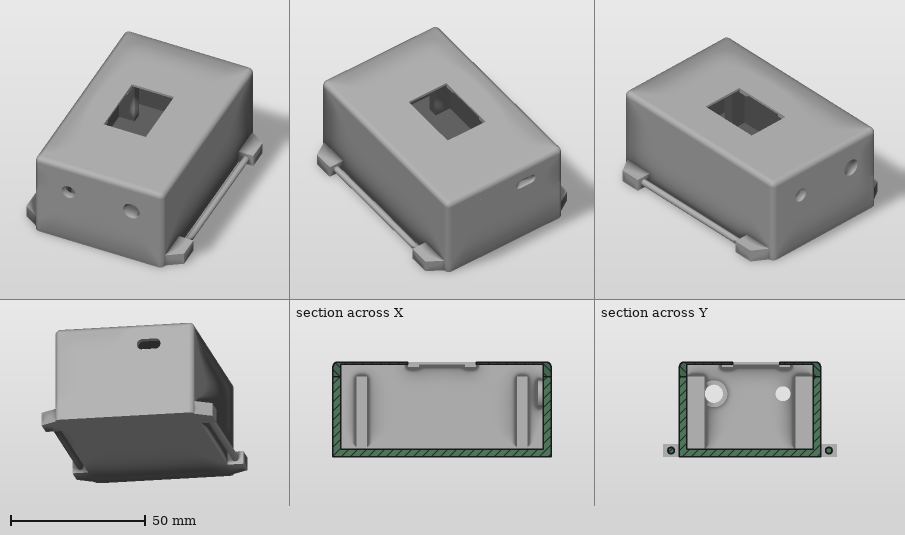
import cadquery as cq

overall_width = 64.8
length = 81.5
height = 35.5
width = 52.8
lug_height = 5.0
lug_length = 12.15
lug_tip_length = 8.3
edge_radius = 2.0
wall = 3.0
lid_height = 5.4
lid_plate = 1.0

bar_diameter = 2.5

post_width = 6.4
post_depth = 4.0
post_near_face = 27.95

port_height = 23.6
small_port_diameter = 5.55
small_port_x = -12.3
large_port_diameter = 6.8
large_port_x = 13.45
collar_diameter = 10.0
collar_length = 2.0

slot_length = 9.0
slot_height = 4.0
slot_x = -9.4
slot_z = 27.6

window_width = 17.3
window_length = 25.2
window_x = -2.3
pad_size = 4.0
pad_height = 1.0

lug_reach = (overall_width - width) / 2
box_height = height - lid_height
inner_width = width - 2 * wall
inner_length = length - 2 * wall
lug_end = length / 2 - edge_radius
lug_start = lug_end - lug_length
lug_tip_end = lug_start + lug_tip_length
bar_x = (width + lug_reach) / 2
SIDES = (-1, 1)


def block(size_x, size_y, bottom, top):
    """Block centred on the Z axis, between two heights."""
    return cq.Workplane("XY").workplane(offset=bottom).rect(size_x, size_y).extrude(top - bottom)


def front_rod(x, diameter, depth):
    """Round rod along Y at port height, from the front face inwards."""
    return (
        cq.Workplane("XZ", origin=(x, -length / 2, port_height))
        .circle(diameter / 2)
        .extrude(-depth)
    )


def rear_slot():
    """Cutter for the rounded slot through the rear wall."""
    return (
        cq.Workplane("XZ", origin=(slot_x, length / 2, slot_z))
        .slot2D(slot_length, slot_height)
        .extrude(wall)
    )


def lug(side_x, side_y):
    """Strap lug on a side wall, tapered towards the end of the box."""
    inner_x = side_x * width / 2
    outer_x = side_x * overall_width / 2
    outline = [
        (inner_x, side_y * lug_start),
        (outer_x, side_y * lug_start),
        (outer_x, side_y * lug_tip_end),
        (inner_x, side_y * lug_end),
    ]
    return cq.Workplane("XY").polyline(outline).close().extrude(lug_height)


def strap_bar(side_x):
    """Round bar joining the two lugs on one side."""
    return (
        cq.Workplane("XZ", origin=(side_x * bar_x, lug_start, lug_height / 2))
        .circle(bar_diameter / 2)
        .extrude(2 * lug_start)
    )


def post(side_x, side_y):
    """Rectangular post standing on the floor against a side wall."""
    center_x = side_x * (inner_width - post_width) / 2
    center_y = side_y * (post_near_face + post_depth / 2)
    return block(post_width, post_depth, wall, box_height).translate((center_x, center_y, 0))


def window_pad(side_x, side_y):
    """Square pad under the lid plate, beside a window corner and flush with its edges."""
    center_x = window_x + side_x * (window_width + pad_size) / 2
    center_y = side_y * (window_length - pad_size) / 2
    underside = height - lid_plate
    pad = block(pad_size, pad_size, underside - pad_height, underside)
    return pad.translate((center_x, center_y, 0))


def make_box():
    """Open box with its posts, ports, rear slot, lugs and strap bars."""
    box = block(width, length, 0, box_height).edges("|Z").fillet(edge_radius)
    box = box.cut(block(inner_width, inner_length, wall, box_height))
    for side_x in SIDES:
        for side_y in SIDES:
            box = box.union(post(side_x, side_y)).union(lug(side_x, side_y))
        box = box.union(strap_bar(side_x))

    collar_depth = wall + collar_length
    box = box.union(front_rod(large_port_x, collar_diameter, collar_depth))
    box = box.cut(front_rod(large_port_x, large_port_diameter, collar_depth))
    box = box.cut(front_rod(small_port_x, small_port_diameter, wall))
    return box.cut(rear_slot())


def make_lid():
    """Hollow lid with a rounded rim, a rectangular window and pads around it."""
    lid = block(width, length, box_height, height)
    lid = lid.edges("|Z or >Z").fillet(edge_radius)
    lid = lid.cut(block(inner_width, inner_length, box_height, height - lid_plate))
    window = block(window_width, window_length, height - lid_plate, height)
    lid = lid.cut(window.translate((window_x, 0, 0)))
    for side_x in SIDES:
        for side_y in SIDES:
            lid = lid.union(window_pad(side_x, side_y))
    return lid


box = make_box()
lid = make_lid()

result = cq.Compound.makeCompound([box.val(), lid.val()])